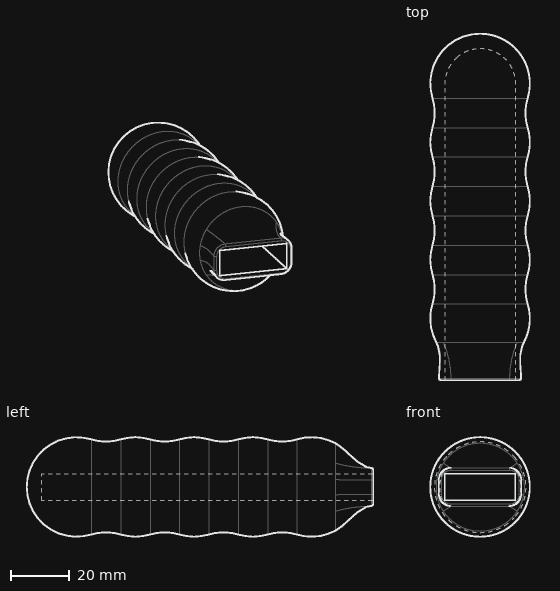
import math

import cadquery as cq

bead_radius = 17.0
bead_pitch = 20.0
bead_count = 5
neck_blend_radius = 17.0
first_bead_y = 21.0
last_bead_y = first_bead_y + (bead_count - 1) * bead_pitch

slot_width = 24.0
slot_height = 9.0
wall = 2.0
mouth_width = slot_width + 2 * wall
mouth_height = slot_height + 2 * wall
mouth_corner_radius = 4.0
rim_fillet = 0.75

transition_offset = 8.0
transition_y = first_bead_y - transition_offset
transition_radius = math.sqrt(bead_radius**2 - transition_offset**2)
transition_slope = -transition_offset / transition_radius
transition_steps = 8


def make_beaded_body():
    """Revolve the bead and neck profile around Y, cut flat at the transition."""
    neck_axis_distance = math.sqrt((bead_radius + neck_blend_radius) ** 2 - (bead_pitch / 2) ** 2)
    neck_radius = neck_axis_distance - neck_blend_radius
    tangent_share = bead_radius / (bead_radius + neck_blend_radius)
    tangent_offset = tangent_share * bead_pitch / 2
    tangent_radius = tangent_share * neck_axis_distance

    profile = cq.Workplane("XY").moveTo(0, transition_y).lineTo(transition_radius, transition_y)
    for index in range(bead_count - 1):
        bead_y = first_bead_y + index * bead_pitch
        next_bead_y = bead_y + bead_pitch
        profile = profile.threePointArc((bead_radius, bead_y), (tangent_radius, bead_y + tangent_offset))
        profile = profile.threePointArc(
            (neck_radius, bead_y + bead_pitch / 2),
            (tangent_radius, next_bead_y - tangent_offset),
        )
    profile = profile.threePointArc((bead_radius, last_bead_y), (0, last_bead_y + bead_radius))
    return profile.close().revolve(360, (0, 0, 0), (0, 1, 0))


def mouth_points():
    """Ends and middles of the eight edges of the mouth outline, counter-clockwise in XZ."""
    corner_x = mouth_width / 2 - mouth_corner_radius
    corner_z = mouth_height / 2 - mouth_corner_radius
    points = []
    for quarter, (sign_x, sign_z) in enumerate([(1, 1), (-1, 1), (-1, -1), (1, -1)]):
        for step in range(3):
            angle = math.radians(90 * quarter + 45 * step)
            x = sign_x * corner_x + mouth_corner_radius * math.cos(angle)
            z = sign_z * corner_z + mouth_corner_radius * math.sin(angle)
            points.append((x, z))
        if sign_x == sign_z:
            points.append((0, z))
        else:
            points.append((x, 0))
    return points


def transition_section(share):
    """Closed outline at a share of the way from the round body (0) to the mouth (1)."""
    length = transition_y - rim_fillet
    y = transition_y - share * length
    mouth_weight = share**2 * (3 - 2 * share)
    slope_weight = share * (1 - share) ** 2
    radial_shift = slope_weight * length * transition_slope
    points = []
    for x, z in mouth_points():
        angle = math.atan2(z, x)
        radius = (1 - mouth_weight) * transition_radius + radial_shift
        points.append(
            cq.Vector(
                radius * math.cos(angle) + mouth_weight * x,
                y,
                radius * math.sin(angle) + mouth_weight * z,
            )
        )
    edges = []
    for start in range(0, len(points), 2):
        end = (start + 2) % len(points)
        is_straight = share == 1 and start % 4 == 2
        if is_straight:
            edges.append(cq.Edge.makeLine(points[start], points[end]))
        else:
            edges.append(cq.Edge.makeThreePointArc(points[start], points[start + 1], points[end]))
    return cq.Wire.assembleEdges(edges)


def make_transition():
    """Loft that leaves the first bead tangentially and arrives parallel to Y at the mouth."""
    sections = [transition_section(step / transition_steps) for step in range(transition_steps + 1)]
    return cq.Workplane(cq.Solid.makeLoft(sections))


def make_rim():
    """Rounded outer edge at the open end, as deep as its fillet."""
    deep_rim = cq.Workplane("XZ").rect(mouth_width, mouth_height).extrude(-2 * rim_fillet)
    deep_rim = deep_rim.edges("|Y").fillet(mouth_corner_radius)
    deep_rim = deep_rim.faces("<Y").edges().fillet(rim_fillet)
    rim_space = cq.Workplane("XZ").rect(mouth_width, mouth_height).extrude(-rim_fillet)
    return deep_rim.intersect(rim_space)


def make_slot():
    """Flat slot whose semicircular blind end is concentric with the last bead."""
    half_width = slot_width / 2
    return (
        cq.Workplane("XY")
        .moveTo(-half_width, 0)
        .lineTo(half_width, 0)
        .lineTo(half_width, last_bead_y)
        .threePointArc((0, last_bead_y + half_width), (-half_width, last_bead_y))
        .close()
        .extrude(slot_height / 2, both=True)
    )


grip = make_beaded_body().union(make_transition()).union(make_rim()).cut(make_slot())
result = grip.solids()